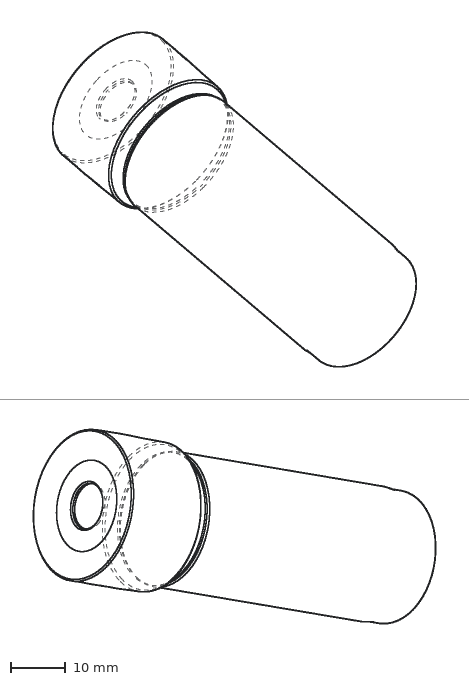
import cadquery as cq

TOTAL_LENGTH = 75.0

HEAD_LENGTH = 16.95
EDGE_BREAK = 0.3
HEAD_FRONT_RADIUS = 13.95
HEAD_MAX_RADIUS = 28.0 / 2
HEAD_REAR_RADIUS = 13.8
HEAD_MAX_POSITION = 6.75

DISH_RIM_RADIUS = 11.25
DISH_FLOOR_RADIUS = 8.7
DISH_DEPTH = 0.9
DISH_BULGE = 0.2
FLOOR_STEP_WIDTH = 0.3
FLOOR_STEP_DEPTH = 0.15

POCKET_RADIUS = 4.5
POCKET_CHAMFER = 0.3
POCKET_DEPTH = 0.75

COLLAR_RADIUS = 26.8 / 2
NECK_RADIUS = 24.5 / 2
BARREL_RADIUS = 25.0 / 2
NECK_START = 19.0
NECK_END = 19.4
BARREL_START = 19.9
BARREL_END = 69.6
TAIL_START = 70.9
TAIL_RADIUS = NECK_RADIUS
TAIL_FILLET = 1.1
COLLAR_HOLLOW = 0.1


def revolve_about_x(profile):
    """Turn a closed profile, drawn as (position along X, radius), about X."""
    return profile.close().revolve(360, (0, 0, 0), (1, 0, 0))


def make_head():
    floor_radius = DISH_FLOOR_RADIUS - FLOOR_STEP_WIDTH
    floor_depth = DISH_DEPTH + FLOOR_STEP_DEPTH
    pocket_floor = floor_depth + POCKET_DEPTH
    dish_middle = (
        DISH_DEPTH / 2 - DISH_BULGE,
        (DISH_RIM_RADIUS + DISH_FLOOR_RADIUS) / 2,
    )
    profile = (
        cq.Workplane("XY")
        .moveTo(pocket_floor, 0)
        .lineTo(pocket_floor, POCKET_RADIUS - POCKET_CHAMFER)
        .lineTo(floor_depth + POCKET_CHAMFER, POCKET_RADIUS - POCKET_CHAMFER)
        .lineTo(floor_depth, POCKET_RADIUS)
        .lineTo(floor_depth, floor_radius)
        .lineTo(DISH_DEPTH, DISH_FLOOR_RADIUS)
        .threePointArc(dish_middle, (0, DISH_RIM_RADIUS))
        .lineTo(0, HEAD_FRONT_RADIUS - EDGE_BREAK)
        .lineTo(EDGE_BREAK, HEAD_FRONT_RADIUS)
        .threePointArc(
            (HEAD_MAX_POSITION, HEAD_MAX_RADIUS),
            (HEAD_LENGTH - EDGE_BREAK, HEAD_REAR_RADIUS),
        )
        .lineTo(HEAD_LENGTH, COLLAR_RADIUS)
        .lineTo(HEAD_LENGTH, 0)
    )
    return revolve_about_x(profile)


def make_handle():
    collar_middle = (
        (HEAD_LENGTH + NECK_START) / 2,
        (COLLAR_RADIUS + NECK_RADIUS) / 2 - COLLAR_HOLLOW,
    )
    profile = (
        cq.Workplane("XY")
        .moveTo(HEAD_LENGTH, 0)
        .lineTo(HEAD_LENGTH, COLLAR_RADIUS)
        .threePointArc(collar_middle, (NECK_START, NECK_RADIUS))
        .lineTo(NECK_END, NECK_RADIUS)
        .lineTo(BARREL_START, BARREL_RADIUS)
        .lineTo(BARREL_END, BARREL_RADIUS)
        .lineTo(TAIL_START, TAIL_RADIUS)
        .lineTo(TOTAL_LENGTH, TAIL_RADIUS)
        .lineTo(TOTAL_LENGTH, 0)
    )
    return revolve_about_x(profile).faces(">X").edges().fillet(TAIL_FILLET)


head = make_head()
handle = make_handle()
result = cq.Compound.makeCompound([head.val(), handle.val()])